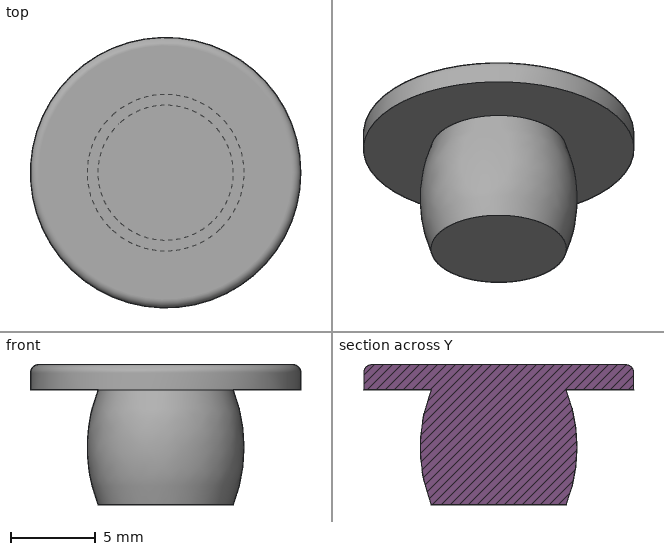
import cadquery as cq

head_diameter = 16.0
total_height = 8.3

head_thickness = 1.5
head_edge_radius = 0.5

stem_end_diameter = 8.0
stem_bulge_diameter = 9.28
stem_height = total_height - head_thickness


def make_stem():
    """Solid of revolution about Z, widest at half its height."""
    end_radius = stem_end_diameter / 2
    bulge_point = (stem_bulge_diameter / 2, stem_height / 2)
    return (
        cq.Workplane("XZ")
        .lineTo(end_radius, 0)
        .threePointArc(bulge_point, (end_radius, stem_height))
        .lineTo(0, stem_height)
        .close()
        .revolve(360, (0, 0), (0, 1))
    )


def make_head():
    """Flat disc on top of the stem with a rounded upper rim."""
    return (
        cq.Workplane("XY")
        .workplane(offset=stem_height)
        .circle(head_diameter / 2)
        .extrude(head_thickness)
        .faces(">Z")
        .edges()
        .fillet(head_edge_radius)
    )


result = make_stem().union(make_head())